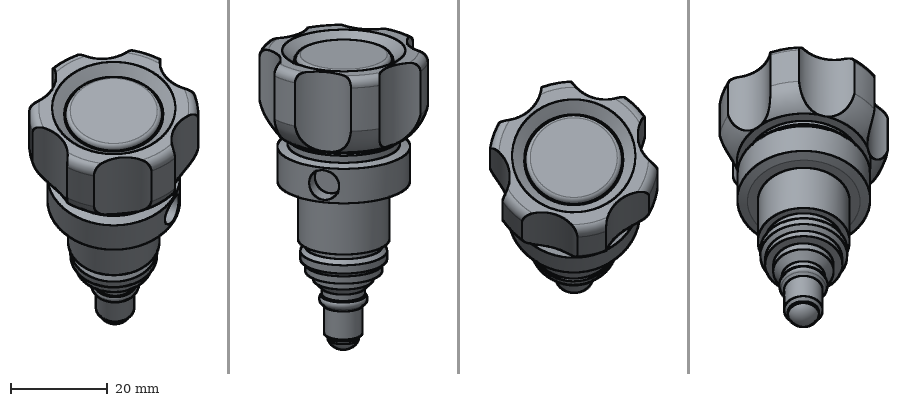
import cadquery as cq
import math


knob_radius = 17.5
knob_bottom_radius = 13.85
knob_bottom_z = -17.4
knob_taper_z = -11.5
knob_taper_arc_radius = 10.0
knob_rim_fillet = 2.0

flute_count = 6
flute_radius = 8.0
flute_floor_radius = 13.75
first_flute_angle = 2.5

recess_top_radius = 12.75
recess_floor_radius = 10.25
recess_depth = 2.0
button_radius = 10.0
button_fillet = 1.0
button_top_z = -0.9

upper_neck_radius = 11.8
upper_neck_bottom_z = -18.4
neck_radius = 11.65
neck_groove_radius = 11.3
neck_top_z = -18.95

collar_radius = 13.75
collar_top_z = -20.5
collar_bottom_z = -29.2
collar_end_radius = neck_radius
collar_end_angle = 15.0
side_hole_diameter = 6.5

body_radius = 9.5
body_bottom_z = -41.4
land_radius = 8.0
land_bottom_z = -48.35
rib_radius = 9.0
rib_top_z = -43.95
rib_bottom_z = -45.75

pin_offset_x = 0.3
pin_head_radius = 6.25
pin_head_bottom_z = -50.15
pin_waist_radius = 4.5
pin_waist_bottom_z = -53.3
ring_radius = 5.0
ring_edge_radius = 4.6
ring_top_z = -53.6
ring_middle_z = -54.4
ring_bottom_z = -55.2
pin_radius = 4.0
pin_bottom_z = -61.95
tip_radius = 3.25
tip_sphere_radius = 3.5
tip_z = -65.44


def revolve_profile(profile):
    """Close an (r, z) profile drawn in the XZ plane and turn it around the Z axis."""
    return profile.close().revolve(360, (0, 0, 0), (0, 1, 0))


def bulged_midpoint(start, end, arc_radius):
    """Middle point of an arc that bulges to the left when walking from start to end in (r, z)."""
    dr = end[0] - start[0]
    dz = end[1] - start[1]
    chord = math.hypot(dr, dz)
    bulge = arc_radius - math.sqrt(arc_radius**2 - (chord / 2) ** 2)
    middle_r = (start[0] + end[0]) / 2
    middle_z = (start[1] + end[1]) / 2
    return (middle_r - bulge * dz / chord, middle_z + bulge * dr / chord)


def make_knob():
    taper_start = (knob_radius, knob_taper_z)
    taper_end = (knob_bottom_radius, knob_bottom_z)
    taper_middle = bulged_midpoint(taper_start, taper_end, knob_taper_arc_radius)
    fillet_start_r = knob_radius - knob_rim_fillet
    profile = (
        cq.Workplane("XZ")
        .moveTo(0, -recess_depth)
        .lineTo(recess_floor_radius, -recess_depth)
        .lineTo(recess_top_radius, 0)
        .lineTo(fillet_start_r, 0)
        .radiusArc((knob_radius, -knob_rim_fillet), knob_rim_fillet)
        .lineTo(*taper_start)
        .threePointArc(taper_middle, taper_end)
        .lineTo(0, knob_bottom_z)
    )
    knob = revolve_profile(profile)
    flute = (
        cq.Workplane("XY")
        .workplane(offset=knob_bottom_z)
        .center(flute_floor_radius + flute_radius, 0)
        .circle(flute_radius)
        .extrude(-knob_bottom_z)
    )
    for index in range(flute_count):
        angle = first_flute_angle + index * 360 / flute_count
        knob = knob.cut(flute.rotate((0, 0, 0), (0, 0, 1), angle))
    return knob


def make_button():
    height = button_top_z - knob_bottom_z
    button = (
        cq.Workplane("XY")
        .workplane(offset=knob_bottom_z)
        .circle(button_radius)
        .extrude(height)
    )
    return button.faces(">Z").edges().fillet(button_fillet)


def make_body():
    collar_end_height = (collar_radius - collar_end_radius) * math.tan(math.radians(collar_end_angle))
    rib_height = rib_radius - land_radius
    profile = (
        cq.Workplane("XZ")
        .moveTo(0, knob_bottom_z)
        .lineTo(upper_neck_radius, knob_bottom_z)
        .lineTo(upper_neck_radius, upper_neck_bottom_z)
        .lineTo(neck_groove_radius, upper_neck_bottom_z)
        .lineTo(neck_radius, neck_top_z)
        .lineTo(neck_radius, collar_top_z)
        .lineTo(collar_radius, collar_top_z - collar_end_height)
        .lineTo(collar_radius, collar_bottom_z + collar_end_height)
        .lineTo(collar_end_radius, collar_bottom_z)
        .lineTo(body_radius, collar_bottom_z)
        .lineTo(body_radius, body_bottom_z)
        .lineTo(land_radius, body_bottom_z)
        .lineTo(land_radius, rib_top_z + rib_height)
        .lineTo(rib_radius, rib_top_z)
        .lineTo(rib_radius, rib_bottom_z)
        .lineTo(land_radius, rib_bottom_z - rib_height)
        .lineTo(land_radius, land_bottom_z)
        .lineTo(0, land_bottom_z)
    )
    return revolve_profile(profile)


def make_side_hole():
    """Blind radial hole in the +X side of the collar, as deep as the body surface."""
    middle_z = (collar_top_z + collar_bottom_z) / 2
    return (
        cq.Workplane("YZ")
        .workplane(offset=body_radius)
        .center(0, middle_z)
        .circle(side_hole_diameter / 2)
        .extrude(collar_radius)
    )


def make_pin():
    head_cone_height = pin_head_radius - pin_waist_radius
    ring_cone_height = ring_edge_radius - pin_radius
    tip_cone_height = pin_radius - tip_radius
    dome_height = tip_sphere_radius - math.sqrt(tip_sphere_radius**2 - tip_radius**2)
    profile = (
        cq.Workplane("XZ")
        .moveTo(0, land_bottom_z)
        .lineTo(pin_head_radius, land_bottom_z)
        .lineTo(pin_head_radius, pin_head_bottom_z)
        .lineTo(pin_waist_radius, pin_head_bottom_z - head_cone_height)
        .lineTo(pin_waist_radius, pin_waist_bottom_z)
        .lineTo(ring_edge_radius, ring_top_z)
        .threePointArc((ring_radius, ring_middle_z), (ring_edge_radius, ring_bottom_z))
        .lineTo(pin_radius, ring_bottom_z - ring_cone_height)
        .lineTo(pin_radius, pin_bottom_z)
        .lineTo(tip_radius, pin_bottom_z - tip_cone_height)
        .lineTo(tip_radius, tip_z + dome_height)
        .radiusArc((0, tip_z), tip_sphere_radius)
    )
    return revolve_profile(profile).translate((pin_offset_x, 0, 0))


body = make_body().cut(make_side_hole())
result = make_knob().union(make_button()).union(body).union(make_pin())